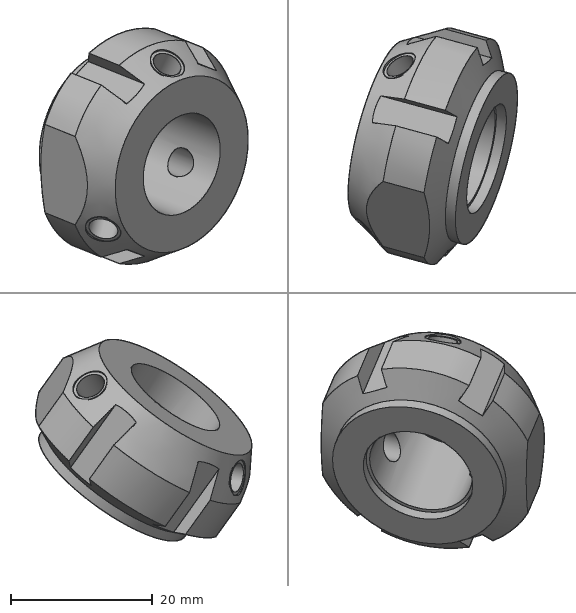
import cadquery as cq
import math

length = 16.0
outer_radius = 16.45
collar_radius = 12.5
collar_length = 1.5
rim_length = 6.15
cone_angle = 30.0

bore_diameter = 15.0
recess_diameter = 16.0
recess_depth = 1.5

flats_width = 30.0
slot_width = 4.0
slot_floor_radius = 14.0
slot_angles = (30, 150, 210, 330)

screw_hole_diameter = 4.15
screw_mouth_diameter = 5.1
screw_mouth_depth = 0.3
screw_hole_angles = (0, 120, 240)
screw_end_offset = 2.83
clearance = 1.65

slope = math.tan(math.radians(cone_angle))
rim_start = collar_length + (outer_radius - collar_radius) * slope
rim_end = rim_start + rim_length
rear_radius = outer_radius - (length - rim_end) * slope


def make_body():
    """Turned blank with two cones, two flats and a stepped bore."""
    profile = [
        (0, 0),
        (0, collar_radius),
        (collar_length, collar_radius),
        (rim_start, outer_radius),
        (rim_end, outer_radius),
        (length, rear_radius),
        (length, 0),
    ]
    blank = cq.Workplane("XY").polyline(profile).close().revolve(360, (0, 0, 0), (1, 0, 0))
    flats = cq.Workplane("XY").box(
        length, flats_width, 2 * outer_radius, centered=(False, True, True)
    )
    bore = cq.Workplane("YZ").circle(bore_diameter / 2).extrude(length)
    recess = cq.Workplane("YZ").circle(recess_diameter / 2).extrude(recess_depth)
    return blank.intersect(flats).cut(bore).cut(recess)


def make_slot(angle):
    """Spanner slot through the full length, turned about X from the top."""
    slot = cq.Workplane("XY").box(
        length, slot_width, outer_radius, centered=(False, True, False)
    )
    return slot.translate((0, 0, slot_floor_radius)).rotate((0, 0, 0), (1, 0, 0), angle)


def make_screw_hole(angle):
    """Set-screw hole square to the rear cone, open to the bore, with a shallow counterbore."""
    center = cq.Vector(length - screw_end_offset, 0, rear_radius + screw_end_offset * slope)
    tilt = math.radians(cone_angle)
    inward = cq.Vector(-math.sin(tilt), 0, -math.cos(tilt))
    depth = center.z / math.cos(tilt)
    start = center - inward * clearance
    hole = cq.Solid.makeCylinder(screw_hole_diameter / 2, depth + clearance, start, inward)
    mouth = cq.Solid.makeCylinder(
        screw_mouth_diameter / 2, screw_mouth_depth + clearance, start, inward
    )
    return cq.Workplane(hole.fuse(mouth)).rotate((0, 0, 0), (1, 0, 0), angle)


result = make_body()
for slot_angle in slot_angles:
    result = result.cut(make_slot(slot_angle))
for hole_angle in screw_hole_angles:
    result = result.cut(make_screw_hole(hole_angle))